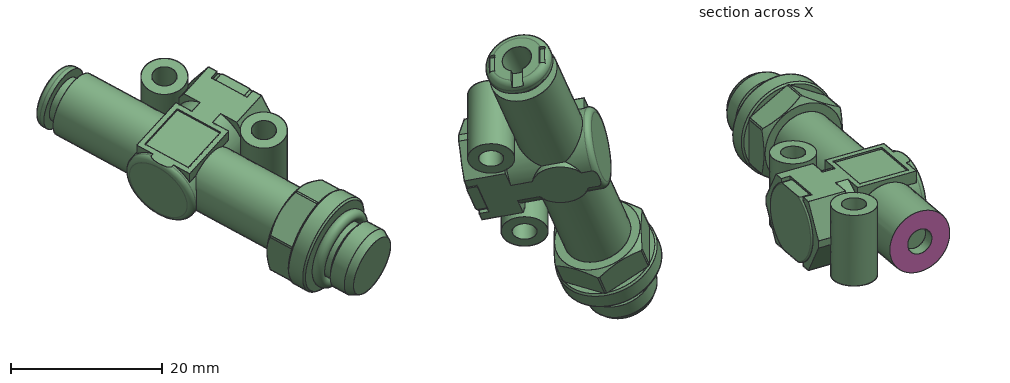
import cadquery as cq
import math


SLEEVE_HEAD_DIA = 9.0
SLEEVE_HEAD_LENGTH = 1.65
SLEEVE_HEAD_FILLET = 1.05
SLEEVE_SHANK_DIA = 6.5
SLEEVE_SEAT_DEPTH = 3.2
TUBE_BORE_DIA = 4.0
KEY_SLOT_WIDTH = 1.55
KEY_SLOT_DEPTH = 0.5
SIDE_POCKET_DEPTH = 0.5
SIDE_POCKET_HEIGHT = 2.65
SIDE_POCKET_INNER = 3.05
SIDE_POCKET_OUTER = 3.8

BARREL_DIA = 9.2
BARREL_START = 3.2
SLEEVE_END = BARREL_START + SLEEVE_SEAT_DEPTH
BARREL_END = 38.55
TUBE_STOP_BORE_DIA = 3.6
TUBE_STOP_BORE_DEPTH = 3.2

HUB_X = 20.85
HUB_DIA = 10.95
HUB_FRONT_Y = -5.6
HUB_REAR_Y = 12.25
HUB_HEIGHT = 10.45
HUB_FRONT_FILLET = 0.8
HUB_REAR_FILLET = 0.2
HUB_UNDERSIDE_DIA = 7.5

PAD_WIDTH = 8.55
PAD_LENGTH = 8.95
PAD_RIM = 0.75
PAD_RECESS_DEPTH = 0.25

REAR_BLOCK_FRONT_Y = 6.3
REAR_BLOCK_REAR_Y = 12.0
REAR_BLOCK_WIDTH = 13.85
REAR_BLOCK_SIDE_HEIGHT = 1.1
NOTCH_WIDTH = 5.75
NOTCH_FRONT_Y = 10.65
NOTCH_DEPTH = 0.25

LUG_DIA = 6.2
LUG_HOLE_DIA = 3.3
LUG_HEIGHT = 10.7
LUG_SPACING = 16.05
LUG_Y = 7.2

HEX_ACROSS_FLATS = 12.0
HEX_CORNER_DIA = 13.65
HEX_FACE_DIA = 11.7
HEX_CHAMFER_LENGTH = 0.6
HEX_END = 42.6
FLANGE_DIA = 14.0
FLANGE_END = 45.4
FLANGE_CHAMFER = 0.25
GROOVE_DIA = 8.2
THREAD_START = 47.6
THREAD_DIA = 9.7
THREAD_START_CHAMFER = 0.45
THREAD_TIP_LENGTH = 1.1
THREAD_TIP_DIA = 8.55
STUD_END = 51.4

O_RING_SECTION_DIA = 1.65


def x_cylinder(diameter, start, end):
    return cq.Workplane("YZ", origin=(start, 0, 0)).circle(diameter / 2).extrude(end - start)


def box(x_range, y_range, z_range):
    size = [high - low for low, high in (x_range, y_range, z_range)]
    corner = (x_range[0], y_range[0], z_range[0])
    return cq.Workplane("XY").box(*size, centered=False).translate(corner)


def centred(middle, width):
    return (middle - width / 2, middle + width / 2)


def revolve_about_x(profile):
    return cq.Workplane("XY").polyline(profile).close().revolve(360, (0, 0, 0), (1, 0, 0))


def make_sleeve():
    head = x_cylinder(SLEEVE_HEAD_DIA, 0, SLEEVE_HEAD_LENGTH).faces("<X").edges().fillet(SLEEVE_HEAD_FILLET)
    sleeve = head.union(x_cylinder(SLEEVE_SHANK_DIA, SLEEVE_HEAD_LENGTH, SLEEVE_END))
    sleeve = sleeve.cut(x_cylinder(TUBE_BORE_DIA, 0, SLEEVE_END))
    key_slot = box((0, KEY_SLOT_DEPTH), centred(0, KEY_SLOT_WIDTH), (-SLEEVE_HEAD_DIA / 2, 0))
    sleeve = sleeve.cut(key_slot)
    pocket = box(
        (0, SIDE_POCKET_DEPTH),
        (SIDE_POCKET_INNER, SIDE_POCKET_OUTER),
        centred(0, SIDE_POCKET_HEIGHT),
    )
    return sleeve.cut(pocket).cut(pocket.mirror("XZ"))


def make_barrel():
    return x_cylinder(BARREL_DIA, BARREL_START, BARREL_END)


def make_hub():
    core = (
        cq.Workplane("XZ", origin=(HUB_X, HUB_FRONT_Y, 0))
        .circle(HUB_DIA / 2)
        .extrude(HUB_FRONT_Y - HUB_REAR_Y)
        .faces("<Y")
        .edges()
        .fillet(HUB_FRONT_FILLET)
        .faces(">Y")
        .edges()
        .fillet(HUB_REAR_FILLET)
    )
    full_width = centred(HUB_X, HUB_DIA)
    envelope = box(full_width, (HUB_FRONT_Y, NOTCH_FRONT_Y), centred(0, HUB_HEIGHT)).union(
        box(full_width, (NOTCH_FRONT_Y, HUB_REAR_Y), centred(0, HUB_HEIGHT - 2 * NOTCH_DEPTH))
    )
    underside = cq.Workplane("XY").center(HUB_X, 0).circle(HUB_UNDERSIDE_DIA / 2).extrude(-HUB_HEIGHT / 2)
    return core.intersect(envelope).union(underside)


def make_label_pad():
    return box(centred(HUB_X, PAD_WIDTH), centred(0, PAD_LENGTH), (0, HUB_HEIGHT / 2))


def make_label_recess():
    return box(
        centred(HUB_X, PAD_WIDTH - 2 * PAD_RIM),
        centred(0, PAD_LENGTH - 2 * PAD_RIM),
        (HUB_HEIGHT / 2 - PAD_RECESS_DEPTH, HUB_HEIGHT / 2),
    )


def make_rear_block():
    top_half_width = PAD_WIDTH / 2
    upper_half = [
        (-REAR_BLOCK_WIDTH / 2, REAR_BLOCK_SIDE_HEIGHT / 2),
        (-top_half_width, HUB_HEIGHT / 2),
        (top_half_width, HUB_HEIGHT / 2),
        (REAR_BLOCK_WIDTH / 2, REAR_BLOCK_SIDE_HEIGHT / 2),
    ]
    lower_half = [(-x, -z) for x, z in upper_half]
    block = (
        cq.Workplane("XZ", origin=(HUB_X, REAR_BLOCK_FRONT_Y, 0))
        .polyline(upper_half + lower_half)
        .close()
        .extrude(REAR_BLOCK_FRONT_Y - REAR_BLOCK_REAR_Y)
    )
    core_height_at_notch_side = math.sqrt((HUB_DIA / 2) ** 2 - (NOTCH_WIDTH / 2) ** 2)
    notch = box(
        centred(HUB_X, NOTCH_WIDTH),
        (NOTCH_FRONT_Y, REAR_BLOCK_REAR_Y),
        (core_height_at_notch_side, HUB_HEIGHT / 2),
    )
    return block.cut(notch).cut(notch.mirror("XY"))


def lug_cylinders(diameter):
    """A pair of cylinders on the lug axes."""
    return (
        cq.Workplane("XY", origin=(HUB_X, LUG_Y, -LUG_HEIGHT / 2))
        .rarray(LUG_SPACING, 0.5, 2, 1)
        .circle(diameter / 2)
        .extrude(LUG_HEIGHT)
    )


def make_housing():
    housing = make_barrel().union(make_hub()).union(make_label_pad()).union(make_rear_block())
    housing = housing.union(lug_cylinders(LUG_DIA)).cut(lug_cylinders(LUG_HOLE_DIA))
    housing = housing.cut(make_label_recess())
    sleeve_seat = x_cylinder(SLEEVE_SHANK_DIA, BARREL_START, SLEEVE_END)
    tube_stop_bore = x_cylinder(TUBE_STOP_BORE_DIA, SLEEVE_END, SLEEVE_END + TUBE_STOP_BORE_DEPTH)
    return housing.cut(sleeve_seat).cut(tube_stop_bore)


def make_hex():
    corner_to_corner = HEX_ACROSS_FLATS / math.cos(math.pi / 6)
    prism = (
        cq.Workplane("YZ", origin=(BARREL_END, 0, 0))
        .polygon(6, corner_to_corner)
        .extrude(HEX_END - BARREL_END)
        .rotate((0, 0, 0), (1, 0, 0), 90)
    )
    blank_profile = [
        (BARREL_END, 0),
        (BARREL_END, HEX_FACE_DIA / 2),
        (BARREL_END + HEX_CHAMFER_LENGTH, HEX_CORNER_DIA / 2),
        (HEX_END, HEX_CORNER_DIA / 2),
        (HEX_END, 0),
    ]
    blank = revolve_about_x(blank_profile)
    return prism.intersect(blank)


def make_stud():
    flange = x_cylinder(FLANGE_DIA, HEX_END, FLANGE_END).edges().chamfer(FLANGE_CHAMFER)
    thread_profile = [
        (FLANGE_END, 0),
        (FLANGE_END, GROOVE_DIA / 2),
        (THREAD_START, GROOVE_DIA / 2),
        (THREAD_START + THREAD_START_CHAMFER, THREAD_DIA / 2),
        (STUD_END - THREAD_TIP_LENGTH, THREAD_DIA / 2),
        (STUD_END, THREAD_TIP_DIA / 2),
        (STUD_END, 0),
    ]
    thread = revolve_about_x(thread_profile)
    return make_hex().union(flange).union(thread)


def make_o_ring():
    section_radius = O_RING_SECTION_DIA / 2
    ring_radius = GROOVE_DIA / 2 + section_radius
    return (
        cq.Workplane("XY")
        .center(FLANGE_END + section_radius, ring_radius)
        .circle(section_radius)
        .revolve(360, (0, -ring_radius, 0), (1, -ring_radius, 0))
    )


sleeve = make_sleeve()
housing = make_housing()
stud = make_stud()
o_ring = make_o_ring()

result = cq.Compound.makeCompound(
    [sleeve.solids().val(), housing.solids().val(), stud.solids().val(), o_ring.solids().val()]
)